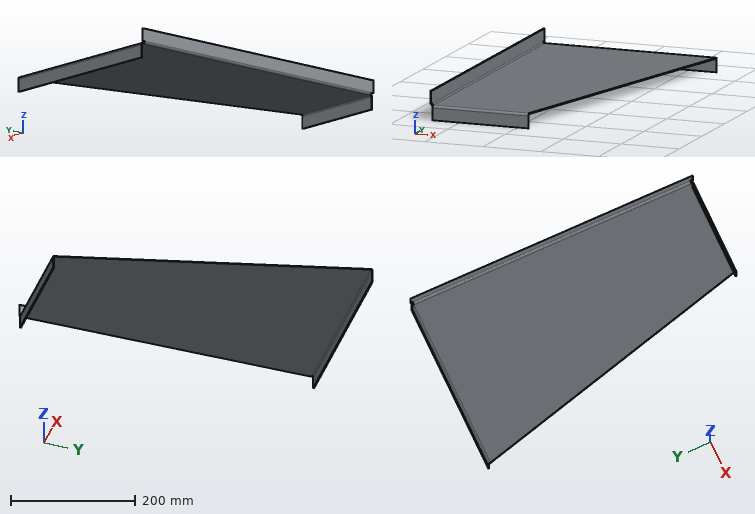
import cadquery as cq

length = 500.0
back_width = 300.0
front_width = 170.0
sheet = 2.0
flange = 25.0
inner_radius = 2.0
outer_radius = inner_radius + sheet


def flange_profile(plane):
    """Bend and flange, with the fold tangent at the origin and the flange turned along +Y."""
    return (
        cq.Workplane(plane)
        .moveTo(0, 0)
        .radiusArc((-outer_radius, outer_radius), outer_radius)
        .lineTo(-outer_radius, flange)
        .lineTo(-inner_radius, flange)
        .lineTo(-inner_radius, outer_radius)
        .radiusArc((0, sheet), -inner_radius)
        .close()
    )


def panel():
    """Flat web between the bend tangents, with one slanted side."""
    return (
        cq.Workplane("XY")
        .polyline([
            (outer_radius, outer_radius),
            (front_width, outer_radius),
            (back_width, length - outer_radius),
            (outer_radius, length - outer_radius),
        ])
        .close()
        .extrude(sheet)
    )


def end_flange(y_tangent, outward, end_x):
    """Downward flange whose bend starts at y_tangent."""
    plane = cq.Plane(
        origin=(outer_radius, y_tangent, sheet),
        xDir=(0, -outward, 0),
        normal=(outward, 0, 0),
    )
    return flange_profile(plane).extrude(outward * (end_x - outer_radius))


def side_flange():
    """Upward flange; its bend stops at the corner notches but its wall runs on past them."""
    plane = cq.Plane(
        origin=(outer_radius, outer_radius, 0),
        xDir=(1, 0, 0),
        normal=(0, -1, 0),
    )
    bend = flange_profile(plane).extrude(-(length - 2 * outer_radius))
    wall = (
        cq.Workplane("XY")
        .box(sheet, length, flange - outer_radius, centered=False)
        .translate((0, 0, outer_radius))
    )
    return bend.union(wall)


result = (
    panel()
    .union(end_flange(outer_radius, -1, front_width))
    .union(end_flange(length - outer_radius, 1, back_width))
    .union(side_flange())
)